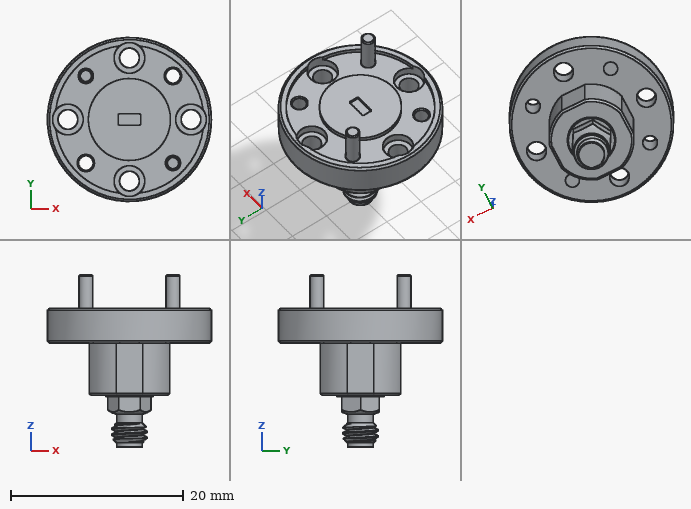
import cadquery as cq
import math

FLANGE_DIAMETER = 19.05
FLANGE_THICKNESS = 4.05
FLANGE_CHAMFER = 0.25

RECESS_DIAMETER = 17.25
RECESS_DEPTH = 0.48
BOSS_DIAMETER = 9.52

WAVEGUIDE_LENGTH = 2.6
WAVEGUIDE_WIDTH = 1.28
WAVEGUIDE_CORNER_RADIUS = 0.12
WAVEGUIDE_DEPTH = 0.25

BOLT_CIRCLE_DIAMETER = 14.28
SCREW_HOLE_DIAMETER = 2.25
SCREW_BORE_DIAMETER = 3.55
SCREW_BORE_DEPTH = 1.5
SCREW_ANGLES = (0, 90, 180, 270)

DOWEL_HOLE_ANGLES = (45, 225)
DOWEL_HOLE_DIAMETER = 1.68
DOWEL_COUNTERSINK_DIAMETER = 2
PIN_ANGLES = (135, 315)
PIN_DIAMETER = 1.62
PIN_COUNTERSINK_DIAMETER = 1.75
PIN_HEIGHT = 3.88
PIN_CHAMFER = 0.15

HUB_DIAMETER = 9.85
HUB_ACROSS_FLATS = 9.35
HUB_LENGTH = 6.08
HUB_CHAMFER = 0.25

COLLAR_TOP_DIAMETER = 5.6
COLLAR_BOTTOM_DIAMETER = 5.35
COLLAR_HEIGHT = 0.15
HEX_ACROSS_CORNERS = 5.05
HEX_HEIGHT = 2.02
HEX_ROUND_HEIGHT = 0.52
HEX_ROUND_RADIUS = 2.4
NECK_DIAMETER = 3
NECK_LENGTH = 1
THREAD_LENGTH = 2.32
THREAD_MAJOR_DIAMETER = 4.08
THREAD_CORE_DIAMETER = 3.2
THREAD_CREST_WIDTH = 0.12
THREAD_FOOT_OVERLAP = 0.05
THREAD_TRIM_MARGIN = 0.2
THREAD_PITCH = 0.7
THREAD_FLANK_ANGLE = 30
THREAD_START_ANGLE = 55
TOTAL_HEIGHT = 20

FLANGE_BOTTOM = -FLANGE_THICKNESS
HUB_BOTTOM = FLANGE_BOTTOM - HUB_LENGTH
HEX_TOP = HUB_BOTTOM - COLLAR_HEIGHT
HEX_BOTTOM = HEX_TOP - HEX_HEIGHT
THREAD_TOP = HEX_BOTTOM - NECK_LENGTH
THREAD_BOTTOM = THREAD_TOP - THREAD_LENGTH
CONNECTOR_BOTTOM = PIN_HEIGHT - TOTAL_HEIGHT


def cylinder(diameter, bottom, top):
    """Upright cylinder on the Z axis between two heights."""
    return cq.Workplane("XY").workplane(offset=bottom).circle(diameter / 2).extrude(top - bottom)


def bolt_circle_points(angles):
    """Points on the bolt circle at the given angles in degrees."""
    radius = BOLT_CIRCLE_DIAMETER / 2
    return [
        (radius * math.cos(math.radians(angle)), radius * math.sin(math.radians(angle)))
        for angle in angles
    ]


def make_flange():
    flange = cylinder(FLANGE_DIAMETER, FLANGE_BOTTOM, 0).edges().chamfer(FLANGE_CHAMFER)
    recess = cylinder(RECESS_DIAMETER, -RECESS_DEPTH, 0).cut(cylinder(BOSS_DIAMETER, -RECESS_DEPTH, 0))
    waveguide = (
        cq.Workplane("XY")
        .rect(WAVEGUIDE_LENGTH, WAVEGUIDE_WIDTH)
        .extrude(-WAVEGUIDE_DEPTH)
        .edges("|Z")
        .fillet(WAVEGUIDE_CORNER_RADIUS)
    )
    return flange.cut(recess).cut(waveguide)


def make_screw_hole():
    """Through hole with a counterbore, cut from the rim height down."""
    hole = cylinder(SCREW_HOLE_DIAMETER, FLANGE_BOTTOM, 0)
    return hole.union(cylinder(SCREW_BORE_DIAMETER, -SCREW_BORE_DEPTH, 0))


def make_countersunk_hole(diameter, countersink_diameter):
    """Through hole with a 45 degree countersink at the recess floor."""
    countersink_depth = (countersink_diameter - diameter) / 2
    profile = [
        (0, FLANGE_BOTTOM),
        (diameter / 2, FLANGE_BOTTOM),
        (diameter / 2, -RECESS_DEPTH - countersink_depth),
        (countersink_diameter / 2, -RECESS_DEPTH),
        (0, -RECESS_DEPTH),
    ]
    return cq.Workplane("XZ").polyline(profile).close().revolve(360, (0, 0), (0, 1))


def make_hub():
    round_blank = cylinder(HUB_DIAMETER, HUB_BOTTOM, FLANGE_BOTTOM).faces("<Z").chamfer(HUB_CHAMFER)
    square_blank = (
        cq.Workplane("XY")
        .workplane(offset=HUB_BOTTOM)
        .rect(HUB_ACROSS_FLATS, HUB_ACROSS_FLATS)
        .extrude(HUB_LENGTH)
        .faces("<Z")
        .chamfer(HUB_CHAMFER)
    )
    return round_blank.intersect(square_blank)


def make_hexagon():
    """Hexagon with corners on the X axis, its lower end turned to a round that ends at the neck."""
    hexagon = cq.Workplane("XY").workplane(offset=HEX_TOP).polygon(6, HEX_ACROSS_CORNERS).extrude(-HEX_HEIGHT)
    turned_blank = (
        cq.Workplane("XZ")
        .moveTo(0, HEX_TOP)
        .lineTo(HEX_ACROSS_CORNERS / 2, HEX_TOP)
        .lineTo(HEX_ACROSS_CORNERS / 2, HEX_BOTTOM + HEX_ROUND_HEIGHT)
        .radiusArc((NECK_DIAMETER / 2, HEX_BOTTOM), HEX_ROUND_RADIUS)
        .lineTo(0, HEX_BOTTOM)
        .close()
        .revolve(360, (0, 0), (0, 1))
    )
    return hexagon.intersect(turned_blank)


def make_thread():
    """Cylindrical core with a helical V ridge, chamfered down to the neck at both ends."""
    core_radius = THREAD_CORE_DIAMETER / 2
    crest_radius = THREAD_MAJOR_DIAMETER / 2
    foot_radius = core_radius - THREAD_FOOT_OVERLAP
    half_crest = THREAD_CREST_WIDTH / 2
    half_foot = half_crest + (crest_radius - foot_radius) * math.tan(math.radians(THREAD_FLANK_ANGLE))

    rod_bottom = THREAD_BOTTOM - THREAD_PITCH
    rod_top = THREAD_TOP + THREAD_PITCH
    helix = cq.Wire.makeHelix(THREAD_PITCH, rod_top - rod_bottom, foot_radius)
    ridge = (
        cq.Workplane("XZ")
        .moveTo(foot_radius, -half_foot)
        .lineTo(crest_radius, -half_crest)
        .lineTo(crest_radius, half_crest)
        .lineTo(foot_radius, half_foot)
        .close()
        .sweep(cq.Workplane(helix), isFrenet=True)
        .rotate((0, 0, 0), (0, 0, 1), THREAD_START_ANGLE)
        .translate((0, 0, rod_bottom))
    )
    rod = cylinder(THREAD_CORE_DIAMETER, rod_bottom - THREAD_PITCH, rod_top + THREAD_PITCH).union(ridge)

    envelope_diameter = THREAD_MAJOR_DIAMETER + 2 * THREAD_TRIM_MARGIN
    end_chamfer = (envelope_diameter - NECK_DIAMETER) / 2
    envelope = cylinder(envelope_diameter, THREAD_BOTTOM, THREAD_TOP).edges().chamfer(end_chamfer)
    return rod.intersect(envelope)


def make_collar():
    """Low cone that narrows from the hub towards the hexagon."""
    return (
        cq.Workplane("XY")
        .workplane(offset=HUB_BOTTOM)
        .circle(COLLAR_TOP_DIAMETER / 2)
        .workplane(offset=-COLLAR_HEIGHT)
        .circle(COLLAR_BOTTOM_DIAMETER / 2)
        .loft()
    )


def make_connector():
    core = cylinder(NECK_DIAMETER, CONNECTOR_BOTTOM, HEX_BOTTOM)
    return make_collar().union(make_hexagon()).union(core).union(make_thread())


def make_housing():
    screw_hole = make_screw_hole()
    dowel_hole = make_countersunk_hole(DOWEL_HOLE_DIAMETER, DOWEL_COUNTERSINK_DIAMETER)
    pin_hole = make_countersunk_hole(PIN_DIAMETER, PIN_COUNTERSINK_DIAMETER)
    hole_pattern = ((screw_hole, SCREW_ANGLES), (dowel_hole, DOWEL_HOLE_ANGLES), (pin_hole, PIN_ANGLES))

    housing = make_flange()
    for hole, angles in hole_pattern:
        for x, y in bolt_circle_points(angles):
            housing = housing.cut(hole.translate((x, y, 0)))
    return housing.union(make_hub()).union(make_connector())


def make_pin(x, y):
    """Dowel pin that fills its hole and stands above the rim."""
    pin = cylinder(PIN_DIAMETER, FLANGE_BOTTOM, PIN_HEIGHT).faces(">Z").chamfer(PIN_CHAMFER)
    return pin.translate((x, y, 0))


housing = make_housing()
pins = [make_pin(x, y) for x, y in bolt_circle_points(PIN_ANGLES)]
result = cq.Compound.makeCompound([housing.val(), *[pin.val() for pin in pins]])